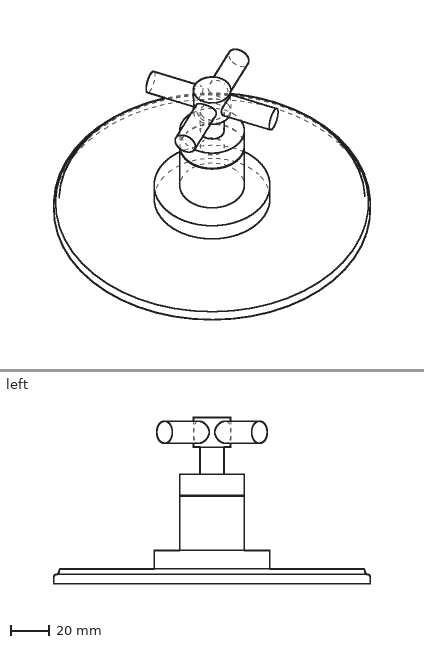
import cadquery as cq

PLATE_RADIUS = 82.5
RIM_WALL_HEIGHT = 3.5
BEAD_TOP_RADIUS = 81.5
BEAD_TOP_HEIGHT = 5.0
COVE_RADIUS = 1.8
CREST_RADIUS = 1.2

COVE_TOP_RADIUS = BEAD_TOP_RADIUS - COVE_RADIUS
COVE_TOP_HEIGHT = BEAD_TOP_HEIGHT + COVE_RADIUS
PLATE_FACE_RADIUS = COVE_TOP_RADIUS - CREST_RADIUS
PLATE_HEIGHT = COVE_TOP_HEIGHT + CREST_RADIUS

FLANGE_RADIUS = 30.2
FLANGE_TOP = 17.5
BODY_RADIUS = 16.8
BODY_TOP = 57.3
GAP_BOTTOM = 45.7
GAP_WIDTH = 0.5
STEM_RADIUS = 6.3

TOTAL_HEIGHT = 86.8
HUB_RADIUS = 9.7
HUB_HEIGHT = 15.5
ARM_RADIUS = 5.8
ARM_SPAN = 70.0
ARM_ANGLES = (45, 135)

HUB_BOTTOM = TOTAL_HEIGHT - HUB_HEIGHT
ARM_HEIGHT = TOTAL_HEIGHT - HUB_HEIGHT / 2


def upright_cylinder(radius, bottom, top):
    """Cylinder on the Z axis between two heights."""
    return cq.Workplane("XY").workplane(offset=bottom).circle(radius).extrude(top - bottom)


def cover_plate():
    """Disc whose rim runs as a convex bead, a quarter-round cove and a quarter-round crest."""
    half_section = (
        cq.Workplane("XZ")
        .lineTo(PLATE_RADIUS, 0)
        .lineTo(PLATE_RADIUS, RIM_WALL_HEIGHT)
        .tangentArcPoint((BEAD_TOP_RADIUS, BEAD_TOP_HEIGHT), relative=False)
        .radiusArc((COVE_TOP_RADIUS, COVE_TOP_HEIGHT), COVE_RADIUS)
        .tangentArcPoint((PLATE_FACE_RADIUS, PLATE_HEIGHT), relative=False)
        .lineTo(0, PLATE_HEIGHT)
        .close()
    )
    return half_section.revolve(360, (0, 0, 0), (0, 1, 0))


def column():
    """Flange and two-part body, joined across the narrow gap by the central stem."""
    flange = upright_cylinder(FLANGE_RADIUS, PLATE_HEIGHT, FLANGE_TOP)
    lower_body = upright_cylinder(BODY_RADIUS, FLANGE_TOP, GAP_BOTTOM)
    upper_body = upright_cylinder(BODY_RADIUS, GAP_BOTTOM + GAP_WIDTH, BODY_TOP)
    stem = upright_cylinder(STEM_RADIUS, FLANGE_TOP, HUB_BOTTOM)
    return flange.union(lower_body).union(stem).union(upper_body)


def cross_handle():
    """Round hub crossed by two level bars, giving four arms."""
    handle = upright_cylinder(HUB_RADIUS, HUB_BOTTOM, TOTAL_HEIGHT)
    for angle in ARM_ANGLES:
        bar = (
            cq.Workplane("YZ")
            .circle(ARM_RADIUS)
            .extrude(ARM_SPAN / 2, both=True)
            .rotate((0, 0, 0), (0, 0, 1), angle)
            .translate((0, 0, ARM_HEIGHT))
        )
        handle = handle.union(bar)
    return handle


result = cover_plate().union(column()).union(cross_handle())